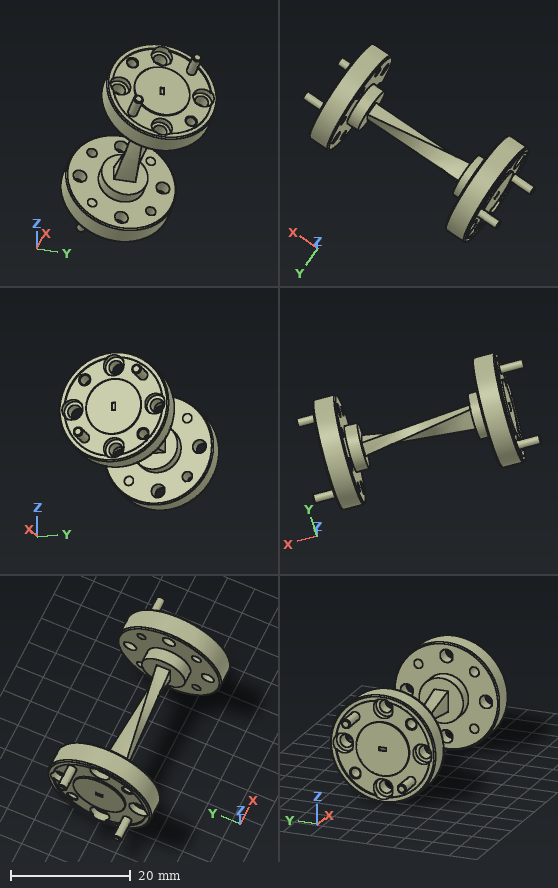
import cadquery as cq
import math


PIN_TIP_X = 19.75
FLANGE_OUTER_X = 15.85
FLANGE_INNER_X = 11.85
HUB_INNER_X = 9.6

FLANGE_DIAMETER = 19.05
FLANGE_CHAMFER = 0.25
HUB_DIAMETER = 7.98
BOSS_DIAMETER = 9.5
RIM_INNER_DIAMETER = 17.05
FACE_RECESS_DEPTH = 0.3

BOLT_CIRCLE_RADIUS = 7.15
SCREW_HOLE_DIAMETER = 2.3
COUNTERBORE_DIAMETER = 3.5
COUNTERBORE_DEPTH = 1.5
DOWEL_HOLE_DIAMETER = 1.7
DOWEL_HOLE_CHAMFER = 0.15

SCREW_ANGLES = [0, 90, 180, 270]
PIN_ANGLES = [45, 225]
DOWEL_HOLE_ANGLES = [135, 315]

PIN_DIAMETER = 1.58
PIN_CHAMFER = 0.2

BAR_LONG_SIDE = 3.7
BAR_SHORT_SIDE = 2.5
OPENING_LONG_SIDE = 1.3
OPENING_SHORT_SIDE = 0.6
OPENING_DEPTH = 0.3


def on_bolt_circle(angle):
    """Y, Z position on the bolt circle; the angle runs from +Y toward +Z."""
    turn = math.radians(angle)
    return BOLT_CIRCLE_RADIUS * math.cos(turn), BOLT_CIRCLE_RADIUS * math.sin(turn)


def cylinder_x(x_start, x_end, diameter, angles=None):
    """Cylinders along X: one on the axis, or one at each angle of the bolt circle."""
    places = [(0, 0)] if angles is None else [on_bolt_circle(angle) for angle in angles]
    return (
        cq.Workplane("YZ", origin=(x_start, 0, 0))
        .pushPoints(places)
        .circle(diameter / 2)
        .extrude(x_end - x_start)
    )


def make_face_recess():
    """Ring between the raised boss and the rim of the outer face."""
    floor_x = FLANGE_OUTER_X - FACE_RECESS_DEPTH
    ring = cylinder_x(floor_x, FLANGE_OUTER_X, RIM_INNER_DIAMETER)
    return ring.cut(cylinder_x(floor_x, FLANGE_OUTER_X, BOSS_DIAMETER))


def make_dowel_hole_mouth(floor_x, angle):
    """Cone that widens a dowel hole toward the floor of the face recess."""
    hole_radius = DOWEL_HOLE_DIAMETER / 2
    small_end = cq.Vector(floor_x - DOWEL_HOLE_CHAMFER, *on_bolt_circle(angle))
    return cq.Workplane(
        cq.Solid.makeCone(
            hole_radius,
            hole_radius + DOWEL_HOLE_CHAMFER,
            DOWEL_HOLE_CHAMFER,
            small_end,
            cq.Vector(1, 0, 0),
        )
    )


def make_flange():
    """Flange at the +X end, with its hub toward the middle of the part."""
    floor_x = FLANGE_OUTER_X - FACE_RECESS_DEPTH
    flange = cylinder_x(FLANGE_INNER_X, FLANGE_OUTER_X, FLANGE_DIAMETER)
    flange = flange.edges().chamfer(FLANGE_CHAMFER)
    flange = flange.union(cylinder_x(HUB_INNER_X, FLANGE_INNER_X, HUB_DIAMETER))
    flange = flange.cut(make_face_recess())

    counterbore_x = FLANGE_OUTER_X - COUNTERBORE_DEPTH
    flange = flange.cut(cylinder_x(FLANGE_INNER_X, FLANGE_OUTER_X, SCREW_HOLE_DIAMETER, SCREW_ANGLES))
    flange = flange.cut(cylinder_x(counterbore_x, FLANGE_OUTER_X, COUNTERBORE_DIAMETER, SCREW_ANGLES))

    dowel_holes = cylinder_x(FLANGE_INNER_X, floor_x, DOWEL_HOLE_DIAMETER, DOWEL_HOLE_ANGLES)
    flange = flange.cut(dowel_holes)
    for angle in DOWEL_HOLE_ANGLES:
        flange = flange.cut(make_dowel_hole_mouth(floor_x, angle))

    return flange.cut(cylinder_x(FLANGE_INNER_X, FLANGE_OUTER_X, PIN_DIAMETER, PIN_ANGLES))


def make_twisted_bar():
    """Bar whose rectangular section makes a quarter turn between the hubs, with straight edges."""
    half_long = BAR_LONG_SIDE / 2
    half_short = BAR_SHORT_SIDE / 2
    corners = [
        (half_long, half_short),
        (-half_long, half_short),
        (-half_long, -half_short),
        (half_long, -half_short),
    ]
    start = [cq.Vector(-HUB_INNER_X, y, z) for y, z in corners]
    end = [cq.Vector(HUB_INNER_X, z, -y) for y, z in corners]

    faces = [cq.Face.makeFromWires(cq.Wire.makePolygon(ring, close=True)) for ring in (start, end)]
    for i in range(len(corners)):
        start_side = cq.Edge.makeLine(start[i - 1], start[i])
        end_side = cq.Edge.makeLine(end[i - 1], end[i])
        faces.append(cq.Face.makeRuledSurface(start_side, end_side))
    return cq.Workplane(cq.Solid.makeSolid(cq.Shell.makeShell(faces)).fix())


def make_opening(end, size_y, size_z):
    """Shallow waveguide opening; end is +1 or -1 for the +X or -X face."""
    middle_x = end * (FLANGE_OUTER_X - OPENING_DEPTH / 2)
    return cq.Workplane("XY").box(OPENING_DEPTH, size_y, size_z).translate((middle_x, 0, 0))


def make_waveguide():
    """Twisted bar with a flange at each end, all one piece."""
    flange = make_flange()
    body = make_twisted_bar().union(flange).union(flange.mirror("YZ"))
    body = body.cut(make_opening(-1, OPENING_LONG_SIDE, OPENING_SHORT_SIDE))
    return body.cut(make_opening(1, OPENING_SHORT_SIDE, OPENING_LONG_SIDE))


def make_pin(end, angle):
    """Dowel pin through a flange, chamfered at its outer tip."""
    pin = cylinder_x(FLANGE_INNER_X, PIN_TIP_X, PIN_DIAMETER, [angle])
    pin = pin.faces(">X").edges().chamfer(PIN_CHAMFER)
    return pin if end > 0 else pin.mirror("YZ")


waveguide = make_waveguide()
pins = [make_pin(end, angle) for end in (-1, 1) for angle in PIN_ANGLES]

result = cq.Compound.makeCompound([waveguide.val(), *[pin.val() for pin in pins]])